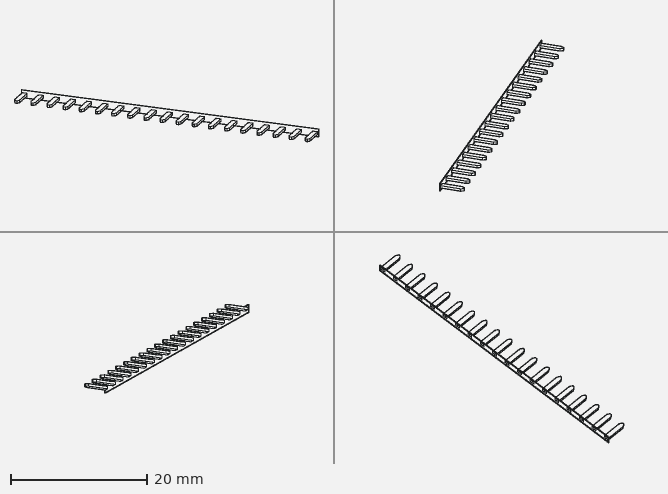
import cadquery as cq

strip_length = 46.75
strip_height = 1.2
strip_thickness = 0.12

overall_depth = 3.65
prong_count = 19
prong_width = 0.8
prong_height = 0.4
end_margin = 0.13
tip_width = 0.3
tip_length = 0.435

prong_length = overall_depth - strip_thickness
last_prong_x = strip_length / 2 - end_margin - prong_width / 2
prong_pitch = 2 * last_prong_x / (prong_count - 1)


def make_strip():
    """Thin upright strip that carries the prongs."""
    return cq.Workplane("XY").box(
        strip_length, strip_thickness, strip_height, centered=(True, False, True)
    )


def make_prong(centre_x):
    """Flat prong with a straight-tapered tip, rooted on the strip's front face."""
    shoulder_y = tip_length - prong_length
    outline = [
        (-prong_width / 2, 0),
        (-prong_width / 2, shoulder_y),
        (-tip_width / 2, -prong_length),
        (tip_width / 2, -prong_length),
        (prong_width / 2, shoulder_y),
        (prong_width / 2, 0),
    ]
    prong = cq.Workplane("XY").polyline(outline).close().extrude(prong_height / 2, both=True)
    return prong.translate((centre_x, 0, 0))


result = make_strip()
for index in range(prong_count):
    result = result.union(make_prong(index * prong_pitch - last_prong_x))